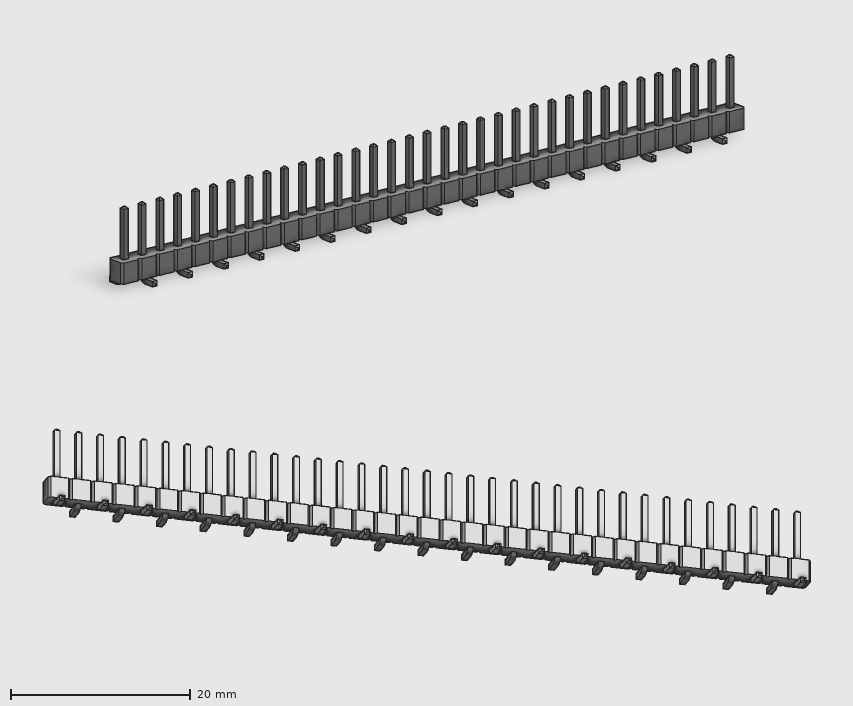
import cadquery as cq
import math

pin_count = 35
row_length = 88.9
pitch = row_length / pin_count
total_height = 9.3
tail_span = 5.0

body_width = 2.5
body_height = 2.5
body_bottom = 0.7
chamfer_across = 0.4
chamfer_along = 0.24

pin_size = 0.64
bend_outer_radius = 1.3
tip_chamfer = 0.22


def pin_y(index):
    """Position of a pin along the row."""
    return (index - (pin_count - 1) / 2) * pitch


def make_body():
    """Row of touching blocks, leaving a V groove at each joint."""
    half_width = body_width / 2
    half_pitch = pitch / 2
    flat_x = half_width - chamfer_across
    flat_y = half_pitch - chamfer_along
    corners = [
        (half_width, -flat_y),
        (half_width, flat_y),
        (flat_x, half_pitch),
        (-flat_x, half_pitch),
        (-half_width, flat_y),
        (-half_width, -flat_y),
        (-flat_x, -half_pitch),
        (flat_x, -half_pitch),
    ]
    block = (
        cq.Workplane("XY", origin=(0, 0, body_bottom))
        .polyline(corners)
        .close()
        .extrude(body_height)
        .val()
    )
    blocks = [block.translate(cq.Vector(0, pin_y(i), 0)) for i in range(pin_count)]
    return blocks[0].fuse(*blocks[1:]).clean()


def make_pin():
    """L-shaped square pin whose tail points to -X, with both tips tapered."""
    half = pin_size / 2
    bend_inner_radius = bend_outer_radius - pin_size
    bend_x = half - bend_outer_radius
    bend_z = bend_outer_radius
    diagonal = math.sqrt(0.5)
    tail_end = -tail_span / 2

    blank = (
        cq.Workplane("XZ")
        .moveTo(half, total_height)
        .lineTo(half, bend_z)
        .threePointArc(
            (bend_x + bend_outer_radius * diagonal, bend_z - bend_outer_radius * diagonal),
            (bend_x, 0),
        )
        .lineTo(tail_end, 0)
        .lineTo(tail_end, pin_size)
        .lineTo(bend_x, pin_size)
        .threePointArc(
            (bend_x + bend_inner_radius * diagonal, bend_z - bend_inner_radius * diagonal),
            (-half, bend_z),
        )
        .lineTo(-half, total_height)
        .close()
        .extrude(half, both=True)
    )
    return blank.faces(">Z or <X").chamfer(tip_chamfer)


def make_pins():
    """All pins, with tails alternating between the -X and +X sides."""
    left_pin = make_pin().val()
    right_pin = left_pin.rotate(cq.Vector(0, 0, 0), cq.Vector(0, 0, 1), 180)
    pins = []
    for i in range(pin_count):
        pin = left_pin if i % 2 == 0 else right_pin
        pins.append(pin.translate(cq.Vector(0, pin_y(i), 0)))
    return pins


result = cq.Workplane(make_body().fuse(*make_pins()))